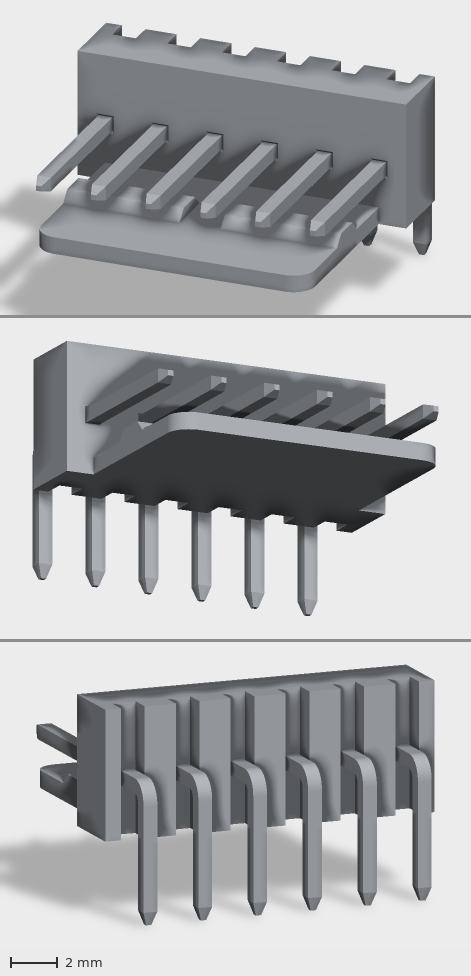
import cadquery as cq


PIN_COUNT = 6
HOUSING_LENGTH = 15.24
PITCH = HOUSING_LENGTH / PIN_COUNT
ROW_SPAN = (PIN_COUNT - 1) * PITCH
PIN_XS = [i * PITCH - ROW_SPAN / 2 for i in range(PIN_COUNT)]

HOUSING_DEPTH = 3.26
HOUSING_HEIGHT = 5.8
SLOT_WIDTH = 1.1
SLOT_DEPTH = 1.07

PIN_SIZE = 0.64
PIN_AXIS_Z = 2.6
PIN_FRONT_REACH = 7.51
PIN_REAR_REACH = 2.03
PIN_DROP = 3.4
BEND_OUTER_RADIUS = 1.0
BEND_INNER_RADIUS = BEND_OUTER_RADIUS - PIN_SIZE
TIP_LENGTH = 0.61
TIP_SIZE = 0.25

LEAD_IN_SIZE = 0.82
LEAD_IN_DEPTH = (LEAD_IN_SIZE - PIN_SIZE) / 2

PLATE_WIDTH = ROW_SPAN
PLATE_REACH = 8.23
PLATE_THICKNESS = 0.78
PLATE_CORNER_RADIUS = 1.0

RIB_HEIGHT = 0.5
RIB_BASE = 2.25
RIB_OFFSET = 2.5
RIB_GAP = PITCH - PIN_SIZE
RIB_LENGTH = (PLATE_WIDTH - RIB_GAP) / 2


def make_square_taper(plane, base_size, end_size, length):
    """Square frustum growing from its base along the plane normal."""
    return (
        cq.Workplane(plane)
        .rect(base_size, base_size)
        .workplane(offset=length)
        .rect(end_size, end_size)
        .loft(ruled=True)
    )


def make_housing():
    """Block with a full-height slot in the rear and a tapered lead-in in the front at each pin."""
    housing = cq.Workplane("XY").box(
        HOUSING_LENGTH, HOUSING_DEPTH, HOUSING_HEIGHT, centered=(True, False, False)
    )
    for x in PIN_XS:
        slot = cq.Workplane("XY").box(SLOT_WIDTH, SLOT_DEPTH, HOUSING_HEIGHT, centered=(True, False, False))
        mouth = cq.Plane(origin=(x, 0, PIN_AXIS_Z), xDir=(1, 0, 0), normal=(0, 1, 0))
        lead_in = make_square_taper(mouth, LEAD_IN_SIZE, PIN_SIZE, LEAD_IN_DEPTH)
        housing = housing.cut(slot.translate((x, HOUSING_DEPTH - SLOT_DEPTH, 0)))
        housing = housing.cut(lead_in)
    return housing


def make_plate():
    """Flat plate with its two front corners rounded."""
    return (
        cq.Workplane("XY")
        .box(PLATE_WIDTH, PLATE_REACH, PLATE_THICKNESS, centered=(True, False, False))
        .translate((0, -PLATE_REACH, 0))
        .edges("|Z and <Y")
        .fillet(PLATE_CORNER_RADIUS)
    )


def make_rib(x_start):
    """Rib with 45 degree flanks, running along X from x_start."""
    y_rear = -RIB_OFFSET
    y_front = y_rear - RIB_BASE
    z_top = PLATE_THICKNESS + RIB_HEIGHT
    return (
        cq.Workplane("YZ", origin=(x_start, 0, 0))
        .moveTo(y_front, PLATE_THICKNESS)
        .lineTo(y_front + RIB_HEIGHT, z_top)
        .lineTo(y_rear - RIB_HEIGHT, z_top)
        .lineTo(y_rear, PLATE_THICKNESS)
        .close()
        .extrude(RIB_LENGTH)
    )


def make_pin():
    """Right-angle pin centred on X = 0, tapered at both ends."""
    y_front = TIP_LENGTH - PIN_FRONT_REACH
    y_rear = HOUSING_DEPTH + PIN_REAR_REACH
    z_bottom = TIP_LENGTH - PIN_DROP
    z_top = PIN_AXIS_Z + PIN_SIZE / 2
    shank = (
        cq.Workplane("YZ")
        .moveTo(y_front, z_top)
        .lineTo(y_rear - BEND_OUTER_RADIUS, z_top)
        .radiusArc((y_rear, z_top - BEND_OUTER_RADIUS), BEND_OUTER_RADIUS)
        .lineTo(y_rear, z_bottom)
        .lineTo(y_rear - PIN_SIZE, z_bottom)
        .lineTo(y_rear - PIN_SIZE, z_top - BEND_OUTER_RADIUS)
        .radiusArc((y_rear - BEND_OUTER_RADIUS, z_top - PIN_SIZE), -BEND_INNER_RADIUS)
        .lineTo(y_front, z_top - PIN_SIZE)
        .close()
        .extrude(PIN_SIZE / 2, both=True)
    )
    front_end = cq.Plane(origin=(0, y_front, PIN_AXIS_Z), xDir=(1, 0, 0), normal=(0, -1, 0))
    tail_end = cq.Plane(origin=(0, y_rear - PIN_SIZE / 2, z_bottom), xDir=(1, 0, 0), normal=(0, 0, -1))
    front_tip = make_square_taper(front_end, PIN_SIZE, TIP_SIZE, TIP_LENGTH)
    tail_tip = make_square_taper(tail_end, PIN_SIZE, TIP_SIZE, TIP_LENGTH)
    return shank.union(front_tip).union(tail_tip)


result = make_housing().union(make_plate())
for rib_start in (-PLATE_WIDTH / 2, RIB_GAP / 2):
    result = result.union(make_rib(rib_start))

pin = make_pin()
for pin_x in PIN_XS:
    result = result.union(pin.translate((pin_x, 0, 0)))